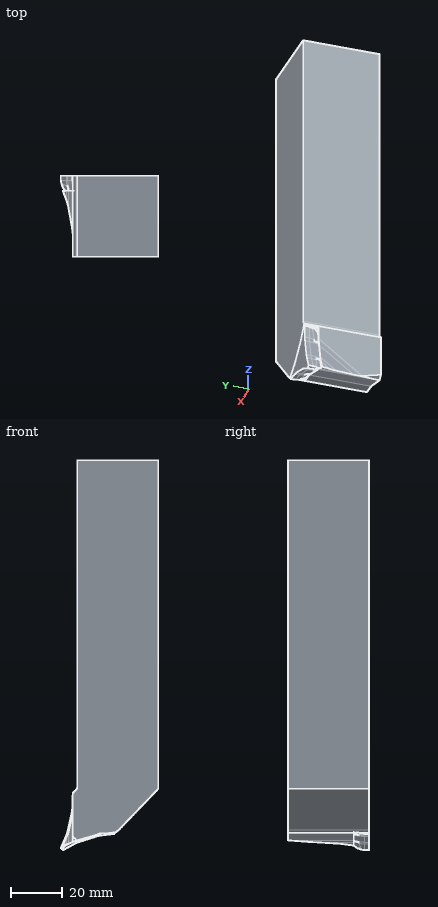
import cadquery as cq
import math

total_length = 152.4
shank_width = 31.7

insert_reach = 6.4
insert_thickness = 6.0
land_depth = 1.8
relief_angle = 8
insert_tilt = 12.5
side_distance = 5.6
middle_half_length = 4.5
corner_half_length = 10.5
corner_rise = 1.15
corner_cut_depth = 3.0
wing_cut_depth = 4.1
wing_cut_inset = 1.0
corner_cut_inset = 2.3
insert_sides = 3

wall_reach = 1.75
step_top = 24.5
step_middle = (-0.5, 23.6)
step_bottom = 22.4
back_bevel_top = 24.0
heel_right = (-0.2, 3.8)
heel_corner = (-2.0, 3.0)
nose_tip = (-5.5, 1.8)
bottom_points = [(16.3, 8.0), (15.0, 6.9), (9.5, 6.5), heel_right, heel_corner, nose_tip]
nose_reach = 6.9
fold_radius = 9.1
flank_slope = 36.6
flank_top = 19.5
flank_middle = 10.5
flank_angles = (insert_tilt, 23.5)
heel_height = 5.6
heel_start = 21.8
margin = 1.5


def polar(radius, degrees):
    angle = math.radians(degrees)
    return cq.Vector(radius * math.cos(angle), radius * math.sin(angle))


def place_insert_points():
    """Outline points around the centre, four for each hollow side, in X and Z."""
    points = []
    for side in range(insert_sides):
        facing = 180 - insert_tilt + side * 360 / insert_sides
        corner_distance = side_distance + corner_rise
        stations = [
            (-corner_half_length, corner_distance),
            (-middle_half_length, side_distance),
            (middle_half_length, side_distance),
            (corner_half_length, corner_distance),
        ]
        for along, outward in stations:
            points.append(polar(outward, facing) + polar(along, facing + 90))
    offset = cq.Vector(-insert_reach - min(p.x for p in points), -min(p.y for p in points))
    return [p + offset for p in points], offset


insert_points, insert_centre = place_insert_points()
top_corner_end = insert_points[-1]
right_corner = insert_points[7]


def outline_face():
    """Insert outline on the XY plane, with the folds of each hollow side rounded."""
    face = cq.Face.makeFromWires(cq.Wire.makePolygon(insert_points, close=True))
    folds = []
    for vertex in face.Vertices():
        radius = (vertex.Center() - insert_centre).Length
        if radius < (side_distance + corner_half_length) / 2:
            folds.append(vertex)
    return face.fillet2D(fold_radius, folds)


def stand_up(shape):
    """Turn a shape drawn in XY so that its height runs from Y = 0 toward -Y."""
    return shape.rotate(cq.Vector(), cq.Vector(1, 0, 0), 90)


def prism(points, depth):
    return cq.Workplane("XZ").polyline(points).close().extrude(depth)


def make_wing_bevel(direction):
    """Waste below one end of the left side, deepest at the corner."""
    sections = []
    stations = [
        (corner_half_length, side_distance + corner_rise, corner_cut_depth),
        (middle_half_length, side_distance, wing_cut_depth),
    ]
    for along, outward, start in stations:
        slope = wing_cut_inset / (insert_thickness - corner_cut_depth)
        inset = slope * (insert_thickness - start)
        relief = (start - land_depth) * math.tan(math.radians(relief_angle))
        edge = -outward + relief
        corners = [
            (edge, -start), (edge + inset, -insert_thickness),
            (edge - margin, -insert_thickness), (edge - margin, -start),
        ]
        points = [cq.Vector(x, y, direction * along) for x, y in corners]
        sections.append(cq.Wire.makePolygon(points, close=True))
    return cq.Workplane(cq.Solid.makeLoft(sections, True))


def make_insert():
    outline = outline_face().outerWire()
    land = cq.Solid.extrudeLinear(outline, [], cq.Vector(0, 0, land_depth))
    relief = cq.Solid.extrudeLinear(
        outline, [], cq.Vector(0, 0, insert_thickness - land_depth), relief_angle
    ).translate(cq.Vector(0, 0, land_depth))
    insert = cq.Workplane(stand_up(land)).union(cq.Workplane(stand_up(relief)))
    corner_radius = math.hypot(side_distance + corner_rise, corner_half_length)
    for corner in range(insert_sides):
        bevel = (
            cq.Workplane("XY")
            .polyline([
                (corner_radius, -corner_cut_depth),
                (corner_radius - corner_cut_inset, -insert_thickness),
                (corner_radius, -insert_thickness),
            ])
            .close()
            .extrude(margin * 2, both=True)
        )
        turn = insert_tilt + 360 / insert_sides / 2 + corner * 360 / insert_sides
        bevel = bevel.rotate((0, 0, 0), (0, 1, 0), turn)
        side_turn = insert_tilt + corner * 360 / insert_sides
        for direction in (-1, 1):
            wing = make_wing_bevel(direction).rotate((0, 0, 0), (0, 1, 0), side_turn)
            insert = insert.cut(wing.translate((insert_centre.x, 0, insert_centre.y)))
        insert = insert.cut(bevel.translate((insert_centre.x, 0, insert_centre.y)))
    return insert


def make_blank():
    blank = (
        cq.Workplane("XZ")
        .moveTo(0, total_length)
        .lineTo(shank_width, total_length)
        .lineTo(shank_width, back_bevel_top)
    )
    for point in bottom_points:
        blank = blank.lineTo(*point)
    return (
        blank.lineTo(-nose_reach, nose_tip[1])
        .lineTo(-nose_reach, flank_top)
        .lineTo(-wall_reach, flank_top)
        .lineTo(-wall_reach, step_bottom)
        .lineTo(*step_middle)
        .tangentArcPoint((0, step_top), relative=False)
        .close()
        .extrude(shank_width)
    )


def make_flank_cutter():
    """Waste outside the folded flank, whose folds run down toward -Y."""
    scale = math.cos(math.radians(flank_slope))
    middle_x = -wall_reach - (flank_top - flank_middle) * math.tan(math.radians(flank_angles[0]))
    bottom = -margin
    bottom_x = middle_x - (flank_middle - bottom) * math.tan(math.radians(flank_angles[1]))
    waste_x = -nose_reach - shank_width
    waste_top = total_length
    points = [
        (-wall_reach, waste_top), (-wall_reach, flank_top), (middle_x, flank_middle),
        (bottom_x, bottom), (waste_x, bottom), (waste_x, waste_top),
    ]
    face = cq.Face.makeFromWires(
        cq.Wire.makePolygon([cq.Vector(x, z * scale) for x, z in points], close=True)
    )
    folds = [
        v for v in face.Vertices()
        if v.X > bottom_x + margin and v.Y < waste_top * scale - margin
    ]
    face = face.fillet2D(fold_radius, folds)
    length = 4 * shank_width
    cutter = cq.Solid.extrudeLinear(face.outerWire(), [], cq.Vector(0, 0, length))
    cutter = cutter.translate(cq.Vector(0, 0, -length / 2))
    return cutter.rotate(cq.Vector(), cq.Vector(1, 0, 0), 90 + flank_slope)


def make_heel_cutter():
    """Tetrahedron that bevels the lower corner of the left wall."""
    corner_x, corner_z = heel_corner
    low = cq.Vector(corner_x - margin, -shank_width, corner_z - margin)
    start = cq.Vector(corner_x, -heel_start, corner_z)
    high = cq.Vector(corner_x, -shank_width, heel_height)
    right = cq.Vector(heel_right[0], -shank_width, heel_right[1])
    faces = [
        cq.Face.makeFromWires(cq.Wire.makePolygon(list(points), close=True))
        for points in [(low, start, high), (low, start, right), (low, high, right), (start, high, right)]
    ]
    return cq.Solid.makeSolid(cq.Shell.makeShell(faces))


def make_pocket():
    """Seat of the insert, open to the left and below."""
    seat = cq.Solid.extrudeLinear(outline_face().outerWire(), [], cq.Vector(0, 0, insert_thickness))
    left = -nose_reach - margin
    opening = prism(
        [
            (top_corner_end.x, step_bottom), (top_corner_end.x, top_corner_end.y),
            (insert_centre.x, insert_centre.y),
            (right_corner.x, right_corner.y), (right_corner.x, -margin),
            (left, -margin), (left, step_bottom),
        ],
        insert_thickness,
    )
    return opening.union(cq.Workplane(stand_up(seat)))


def make_holder():
    holder = make_blank().cut(cq.Workplane(make_flank_cutter()))
    holder = holder.cut(cq.Workplane(make_heel_cutter()))
    return holder.cut(make_pocket())


holder = make_holder()
insert = make_insert()
result = cq.Compound.makeCompound([holder.solids().val(), insert.solids().val()])